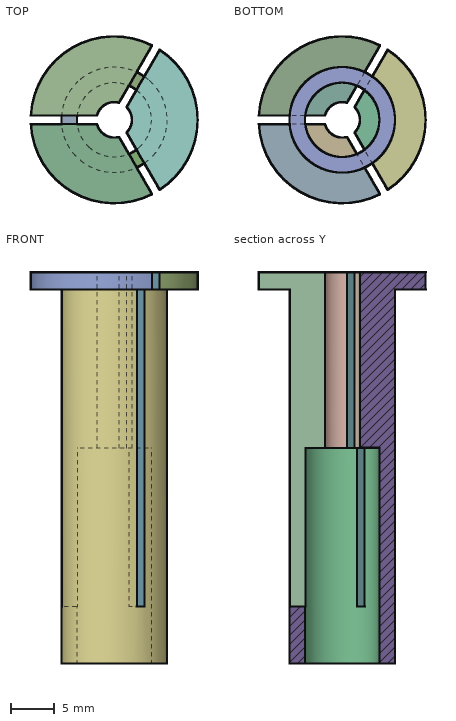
import cadquery as cq

total_height = 44.5
flange_diameter = 19.0
flange_thickness = 2.0
shank_diameter = 12.0
upper_bore_diameter = 4.0
upper_bore_depth = 20.0
lower_bore_diameter = 8.45
slot_width = 1.0
slot_depth = 38.0
slot_count = 3
first_slot_angle = 180.0

shank_height = total_height - flange_thickness
lower_bore_height = total_height - upper_bore_depth
slot_floor = total_height - slot_depth


def make_body():
    """Straight shank and flange, with a bore that narrows at the top."""
    half_profile = [
        (lower_bore_diameter / 2, 0),
        (shank_diameter / 2, 0),
        (shank_diameter / 2, shank_height),
        (flange_diameter / 2, shank_height),
        (flange_diameter / 2, total_height),
        (upper_bore_diameter / 2, total_height),
        (upper_bore_diameter / 2, lower_bore_height),
        (lower_bore_diameter / 2, lower_bore_height),
    ]
    return cq.Workplane("XZ").polyline(half_profile).close().revolve(360, (0, 0), (0, 1))


def make_slot(angle):
    """Radial slot from the axis out past the flange, open at the top."""
    return (
        cq.Workplane("XY")
        .workplane(offset=slot_floor)
        .rect(flange_diameter, slot_width)
        .extrude(slot_depth)
        .translate((flange_diameter / 2, 0, 0))
        .rotate((0, 0, 0), (0, 0, 1), angle)
    )


result = make_body()
for index in range(slot_count):
    result = result.cut(make_slot(first_slot_angle + index * 360 / slot_count))